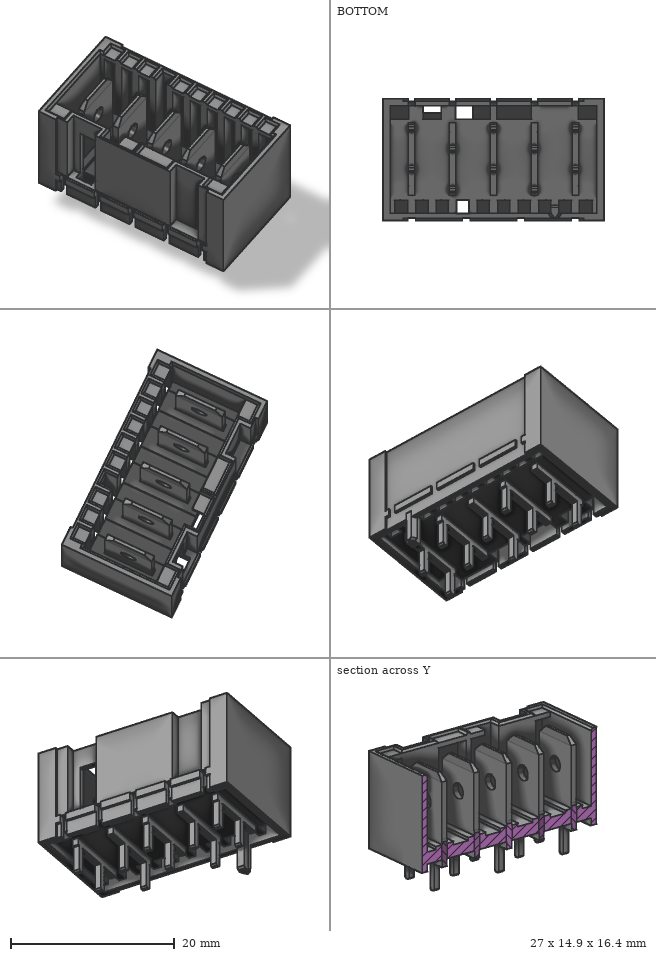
import cadquery as cq
LENGTH = 27.0
DEPTH = 14.9
HEIGHT = 12.8
LEG_LENGTH = 3.6
HALF_LENGTH = LENGTH / 2
HALF_DEPTH = DEPTH / 2

CONTACT_PITCH = 5.0
CONTACT_COUNT = 5
CONTACT_XS = [CONTACT_PITCH * (i - (CONTACT_COUNT - 1) / 2) for i in range(CONTACT_COUNT)]
CONTACT_Y = -0.08
CONTACT_THICKNESS = 0.8

FLOOR_BOTTOM = 0.97
FLOOR_TOP = 3.02
WELL_HALF_X = 12.6
WELL_HALF_Y = 4.95
WALL_INNER_Y = 6.55
BACK_WELL_HALF_X = 12.07
RIM_CHAMFER = 0.3

GROOVE_WIDTH = 2.21
GROOVE_DEPTH = 0.4
END_GROOVE_X = 11.37

RIB_PITCH = CONTACT_PITCH / 2
BACK_RIB_COUNT = 9
BACK_RIB_WIDTH = 1.0
FRONT_RIB_WIDTH = 0.8
LEDGE_TOP = HEIGHT - RIM_CHAMFER
LEDGE_THICKNESS = 0.68
FRONT_LEDGE_START = -2.5

KEY_X = 1.5 * CONTACT_PITCH
KEY_WIDTH = 4.1
KEY_BACK_Y = -5.7
KEY_WALL = 0.8
KEY_INNER_X = KEY_X - KEY_WIDTH / 2 - KEY_WALL
KEY_OUTER_X = KEY_X + KEY_WIDTH / 2 + KEY_WALL
WINDOW_TOP = 10.1

PANEL_HALF_X = 11.02
PANEL_DEPTH = 0.3
RAIL_BOTTOM = 1.95
RAIL_TOP = 3.0
FRONT_WALL_SETBACK = 0.08
BACK_GAP_WIDTH = 0.95
BACK_GAP_COUNT = 4
BACK_GAP_PITCH = CONTACT_PITCH * 4 / 3

PEG_STEM_WIDTH = 1.0
PEG_STEM_FRONT_Y = 5.55
PEG_HEAD_FRONT_Y = 6.55
PEG_HEAD_BACK_Y = 7.18
PEG_HEAD_FRONT_WIDTH = 1.62
PEG_HEAD_BACK_WIDTH = 0.75
PEG_TIP_CHAMFER = 0.27

BLADE_TOP = 12.15
BLADE_BEVEL_HEIGHT = 0.95
BLADE_HALF_LENGTH = 3.15
BLADE_TOP_HALF_LENGTH = 2.1
BLADE_TOP_THICKNESS = 0.43
BLADE_FOOT_HALF_LENGTH = 3.27
BLADE_FOOT_TOP = 3.73
BLADE_HOLE_DIAMETER = 2.0
BLADE_HOLE_Z = 7.88
LEG_ROW_PITCH = CONTACT_PITCH / 2
LEG_YS = [-1.5 * LEG_ROW_PITCH, 0.5 * LEG_ROW_PITCH]
LEG_WIDTH = 0.8
LEG_TIP_CHAMFER = 0.22
BASE_OVERHANG = 0.27


def block(x_range, y_range, z_range):
    """Box given by its two limits along each axis."""
    (x0, x1), (y0, y1), (z0, z1) = x_range, y_range, z_range
    return cq.Workplane("XY").box(x1 - x0, y1 - y0, z1 - z0, centered=False).translate((x0, y0, z0))


def span(center, width):
    return (center - width / 2, center + width / 2)


def flared_well(x_range, y_range, bottom):
    """Rectangular well, open at the top, with a 45 degree chamfer round its rim."""
    (x0, x1), (y0, y1) = x_range, y_range
    width, depth = x1 - x0, y1 - y0
    rim = (
        cq.Workplane("XY", origin=((x0 + x1) / 2, (y0 + y1) / 2, LEDGE_TOP))
        .rect(width, depth)
        .workplane(offset=RIM_CHAMFER)
        .rect(width + 2 * RIM_CHAMFER, depth + 2 * RIM_CHAMFER)
        .loft()
    )
    return block(x_range, y_range, (bottom, LEDGE_TOP)).union(rim)


def hollow_inside(body):
    """Main well over the floor, side wells through the floor, and the recess under it."""
    front_y = (-WALL_INNER_Y, -WELL_HALF_Y)
    body = body.cut(flared_well((-WELL_HALF_X, WELL_HALF_X), (-WELL_HALF_Y, WELL_HALF_Y), FLOOR_TOP))
    body = body.cut(
        flared_well((-BACK_WELL_HALF_X, BACK_WELL_HALF_X), (WELL_HALF_Y, WALL_INNER_Y), FLOOR_BOTTOM)
    )
    front_wells = [
        (-WELL_HALF_X, -KEY_OUTER_X),
        (-KEY_INNER_X, KEY_INNER_X),
        (KEY_OUTER_X, WELL_HALF_X),
    ]
    for x_range in front_wells:
        body = body.cut(flared_well(x_range, front_y, FLOOR_BOTTOM))
    return body.cut(
        block((-WELL_HALF_X, WELL_HALF_X), (-WALL_INNER_Y, WALL_INNER_Y), (0, FLOOR_BOTTOM))
    )


def cut_floor_grooves(body):
    grooves = [span(x + CONTACT_PITCH / 2, GROOVE_WIDTH) for x in CONTACT_XS[:-1]]
    grooves += [(-WELL_HALF_X, -END_GROOVE_X), (END_GROOVE_X, WELL_HALF_X)]
    for x_range in grooves:
        body = body.cut(
            block(x_range, (-WELL_HALF_Y, WELL_HALF_Y), (FLOOR_TOP - GROOVE_DEPTH, FLOOR_TOP))
        )
    return body


def rib(x, width, y_range):
    """Upright rib with both long top edges chamfered."""
    bar = block(span(x, width), y_range, (FLOOR_BOTTOM, HEIGHT))
    return bar.faces(">Z").edges("|Y").chamfer(RIM_CHAMFER)


def add_ribs_and_ledges(body):
    front_y = (-WALL_INNER_Y, -WELL_HALF_Y)
    back_y = (WELL_HALF_Y, WALL_INNER_Y)
    for i in range(BACK_RIB_COUNT):
        x = (i - (BACK_RIB_COUNT - 1) / 2) * RIB_PITCH
        body = body.union(rib(x, BACK_RIB_WIDTH, (WELL_HALF_Y, WALL_INNER_Y + RIM_CHAMFER)))
    body = body.union(rib(0, FRONT_RIB_WIDTH, (-WALL_INNER_Y - RIM_CHAMFER, -WELL_HALF_Y)))

    ledge_z = (LEDGE_TOP - LEDGE_THICKNESS, LEDGE_TOP)
    back_ledges = [(-BACK_WELL_HALF_X, -2 * RIB_PITCH), (-RIB_PITCH, BACK_WELL_HALF_X)]
    front_ledges = [
        (-WELL_HALF_X, -KEY_OUTER_X),
        (FRONT_LEDGE_START, KEY_INNER_X),
        (KEY_OUTER_X, WELL_HALF_X),
    ]
    for x_range in back_ledges:
        body = body.union(block(x_range, back_y, ledge_z))
    for x_range in front_ledges:
        body = body.union(block(x_range, front_y, ledge_z))
    return body


def cut_outer_panels(body):
    """Shallow panels above and below the rails, on the front and back faces."""
    panel_x = (-PANEL_HALF_X, PANEL_HALF_X)
    panel_front_y = PANEL_DEPTH - HALF_DEPTH
    for y_range in [(-HALF_DEPTH, panel_front_y), (-panel_front_y, HALF_DEPTH)]:
        body = body.cut(block(panel_x, y_range, (RAIL_TOP, HEIGHT)))
        body = body.cut(block(panel_x, y_range, (0, RAIL_BOTTOM)))
    setback_y = (panel_front_y, panel_front_y + FRONT_WALL_SETBACK)
    return body.cut(block(panel_x, setback_y, (FLOOR_TOP, HEIGHT)))


def cut_rail_gaps(body):
    """Slots through the front wall foot at each contact, and gaps in the back rail."""
    for x in CONTACT_XS:
        body = body.cut(
            block(span(x, CONTACT_THICKNESS), (-HALF_DEPTH, -WALL_INNER_Y), (0, RAIL_TOP))
        )
    for i in range(BACK_GAP_COUNT):
        x = (i - (BACK_GAP_COUNT - 1) / 2) * BACK_GAP_PITCH
        body = body.cut(
            block(span(x, BACK_GAP_WIDTH), (HALF_DEPTH - PANEL_DEPTH, HALF_DEPTH), (0, RAIL_TOP))
        )
    return body


def cut_keying(body):
    """Two tall recesses in the front wall; the left one has a window and a hole in its floor."""
    for x in (-KEY_X, KEY_X):
        body = body.cut(block(span(x, KEY_WIDTH), (-HALF_DEPTH, KEY_BACK_Y), (FLOOR_TOP, HEIGHT)))
    window_x = span(-KEY_X, GROOVE_WIDTH)
    body = body.cut(block(window_x, (KEY_BACK_Y, -WELL_HALF_Y), (FLOOR_TOP, WINDOW_TOP)))
    return body.cut(block(window_x, (-WALL_INNER_Y, -WELL_HALF_Y), (0, FLOOR_TOP)))


def make_peg():
    """Peg under the back wall: a stem with a wider head that tapers towards the back."""
    outline = [
        (PEG_STEM_WIDTH / 2, PEG_STEM_FRONT_Y),
        (PEG_STEM_WIDTH / 2, PEG_HEAD_FRONT_Y),
        (PEG_HEAD_FRONT_WIDTH / 2, PEG_HEAD_FRONT_Y),
        (PEG_HEAD_BACK_WIDTH / 2, PEG_HEAD_BACK_Y),
    ]
    outline += [(-px, y) for px, y in reversed(outline)]
    peg = cq.Workplane("XY").polyline(outline).close().extrude(LEG_LENGTH + FLOOR_BOTTOM)
    tip = peg.faces("<Z")
    slant_run = (PEG_HEAD_FRONT_WIDTH - PEG_HEAD_BACK_WIDTH) / 2
    slant_rise = PEG_HEAD_BACK_Y - PEG_HEAD_FRONT_Y
    left_slant = cq.selectors.ParallelDirSelector(cq.Vector(slant_run, slant_rise, 0))
    right_slant = cq.selectors.ParallelDirSelector(cq.Vector(-slant_run, slant_rise, 0))
    tip_edges = tip.edges("<Y").add(tip.edges(left_slant)).add(tip.edges(right_slant))
    peg = tip_edges.chamfer(PEG_TIP_CHAMFER)
    return peg.translate((KEY_X, 0, -LEG_LENGTH))


def make_contact(x, turn):
    """Flat contact: bevelled blade with a cross hole, a base under the floor, and two legs."""
    outline = [
        (-BLADE_FOOT_HALF_LENGTH, FLOOR_BOTTOM),
        (-BLADE_FOOT_HALF_LENGTH, FLOOR_TOP),
        (-BLADE_HALF_LENGTH, BLADE_FOOT_TOP),
        (-BLADE_HALF_LENGTH, BLADE_TOP - BLADE_BEVEL_HEIGHT),
        (-BLADE_TOP_HALF_LENGTH, BLADE_TOP),
    ]
    outline += [(-y, z) for y, z in reversed(outline)]
    blade = cq.Workplane("YZ").polyline(outline).close().extrude(CONTACT_THICKNESS / 2, both=True)

    half_thickness = CONTACT_THICKNESS / 2
    half_top = BLADE_TOP_THICKNESS / 2
    section = [
        (-half_thickness, FLOOR_BOTTOM),
        (-half_thickness, BLADE_TOP - BLADE_BEVEL_HEIGHT),
        (-half_top, BLADE_TOP),
    ]
    section += [(-px, z) for px, z in reversed(section)]
    bevelled_bar = (
        cq.Workplane("XZ").polyline(section).close().extrude(BLADE_FOOT_HALF_LENGTH, both=True)
    )
    blade = blade.intersect(bevelled_bar)
    hole = (
        cq.Workplane("YZ", origin=(0, 0, BLADE_HOLE_Z))
        .circle(BLADE_HOLE_DIAMETER / 2)
        .extrude(CONTACT_THICKNESS, both=True)
    )
    contact = blade.cut(hole)

    base_length = 2 * max(map(abs, LEG_YS)) + LEG_WIDTH + 2 * BASE_OVERHANG
    thickness = span(0, CONTACT_THICKNESS)
    contact = contact.union(block(thickness, span(0, base_length), (0, FLOOR_BOTTOM)))
    for y in LEG_YS:
        leg = block(thickness, span(y, LEG_WIDTH), (-LEG_LENGTH, 0))
        contact = contact.union(leg.faces("<Z").edges("|X").chamfer(LEG_TIP_CHAMFER))
    return contact.rotate((0, 0, 0), (0, 0, 1), turn).translate((x, CONTACT_Y, 0))


def cut_contact_slots(body):
    """Slots through the floor that fit the feet of the blades."""
    slot_y = span(CONTACT_Y, 2 * BLADE_FOOT_HALF_LENGTH)
    for x in CONTACT_XS:
        body = body.cut(block(span(x, CONTACT_THICKNESS), slot_y, (FLOOR_BOTTOM, FLOOR_TOP)))
    return body


def make_housing():
    body = block((-HALF_LENGTH, HALF_LENGTH), (-HALF_DEPTH, HALF_DEPTH), (0, HEIGHT))
    body = hollow_inside(body)
    body = cut_floor_grooves(body)
    body = add_ribs_and_ledges(body)
    body = cut_outer_panels(body)
    body = cut_rail_gaps(body)
    body = cut_keying(body)
    body = cut_contact_slots(body)
    return body.union(make_peg())


housing = make_housing()
contacts = [make_contact(x, 180 * (i % 2)) for i, x in enumerate(CONTACT_XS)]

result = cq.Compound.makeCompound([housing.val(), *[contact.val() for contact in contacts]])